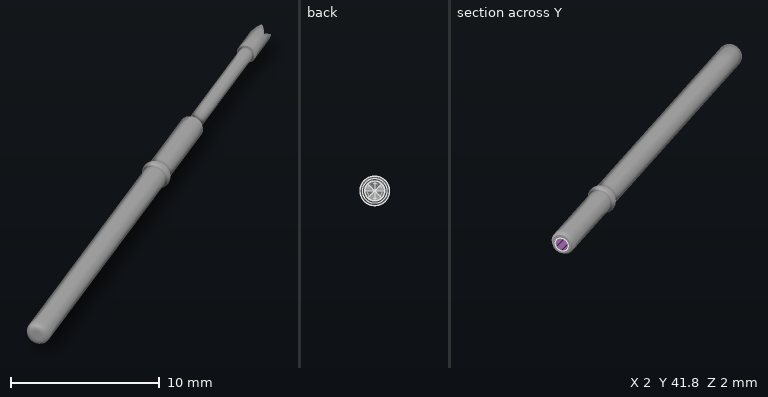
import cadquery as cq
import math

total_length = 41.8
barrel_length = 29.0
head_length = 2.95

barrel_radius = 0.83
plunger_radius = 0.5
head_radius = 0.66

end_round = 0.45

mouth_chamfer_length = 0.25
mouth_chamfer_depth = 0.15

ring_radius = 1.0
ring_width = 0.6
ring_centre = 22.2

crown_depth = 0.8
groove_angles = (45, -45)
groove_overrun = 0.5

cos_45 = math.sqrt(0.5)

barrel_end = -total_length / 2
barrel_mouth = barrel_end + barrel_length
head_tip = total_length / 2
head_base = head_tip - head_length


def make_barrel():
    """Barrel revolved about Y from its outline in the YZ plane."""
    ring_y = barrel_end + ring_centre
    corner_setback = end_round * (1 - cos_45)
    outline = (
        cq.Workplane("YZ")
        .moveTo(barrel_end, 0)
        .lineTo(barrel_end, barrel_radius - end_round)
        .threePointArc(
            (barrel_end + corner_setback, barrel_radius - corner_setback),
            (barrel_end + end_round, barrel_radius),
        )
        .lineTo(ring_y - ring_width / 2, barrel_radius)
        .threePointArc((ring_y, ring_radius), (ring_y + ring_width / 2, barrel_radius))
        .lineTo(barrel_mouth - mouth_chamfer_length, barrel_radius)
        .lineTo(barrel_mouth, barrel_radius - mouth_chamfer_depth)
        .lineTo(barrel_mouth, 0)
        .close()
    )
    return outline.revolve(360, (0, 0, 0), (1, 0, 0))


def make_plunger():
    """Thin rod and wider head, rooted on the barrel mouth."""
    outline = (
        cq.Workplane("YZ")
        .moveTo(barrel_mouth, 0)
        .lineTo(barrel_mouth, plunger_radius)
        .lineTo(head_base, plunger_radius)
        .lineTo(head_base, head_radius)
        .lineTo(head_tip, head_radius)
        .lineTo(head_tip, 0)
        .close()
    )
    return outline.revolve(360, (0, 0, 0), (1, 0, 0))


def make_crown_groove(angle):
    """V groove across the head tip, turned about Y by the given angle."""
    half_width = head_radius * cos_45
    slope = crown_depth / half_width
    top = head_tip + groove_overrun
    top_half_width = half_width + groove_overrun / slope
    groove = (
        cq.Workplane("XY")
        .moveTo(0, head_tip - crown_depth)
        .lineTo(top_half_width, top)
        .lineTo(-top_half_width, top)
        .close()
        .extrude(head_radius + groove_overrun, both=True)
    )
    return groove.rotate((0, 0, 0), (0, 1, 0), angle)


result = make_barrel().union(make_plunger())
for groove_angle in groove_angles:
    result = result.cut(make_crown_groove(groove_angle))